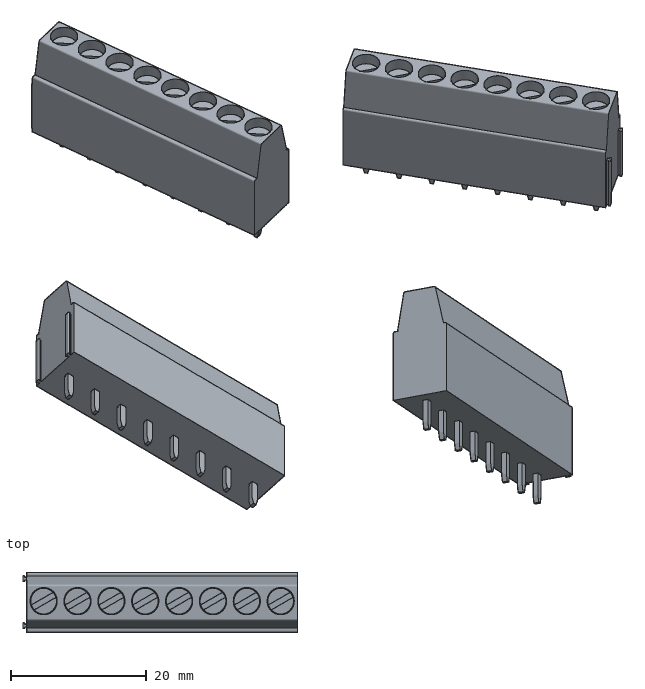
import cadquery as cq
import math

POLES = 8
OVERALL_LENGTH = 40.55
RIB_REACH = 0.55
BODY_LENGTH = OVERALL_LENGTH - RIB_REACH
PITCH = BODY_LENGTH / POLES
FIRST_POLE = PITCH / 2

BODY_DEPTH = 8.9
OVERALL_HEIGHT = 21.3
PIN_LENGTH = 4.5
BODY_HEIGHT = OVERALL_HEIGHT - PIN_LENGTH
SHOULDER_HEIGHT = 10.8
FRONT_SLOPE_FOOT = -3.75
FRONT_SLOPE_TOP = -2.68
BACK_SLOPE_FOOT = 3.95
BACK_SLOPE_TOP = 2.55
EDGE_RADIUS = 0.3

WELL_DIAMETER = 4.0
WELL_Y = 0.2
WELL_FLAT_WIDTH = 0.35
SCREW_DIAMETER = 3.8
SCREW_RECESS = 1.75
SCREW_HEAD_HEIGHT = 1.2
WELL_DEPTH = SCREW_RECESS + SCREW_HEAD_HEIGHT
SCREW_SLOT_WIDTH = 0.85
SCREW_SLOT_DEPTH = 0.8
SCREW_SLOT_ANGLE = 30

PIN_WIDTH = 1.0
PIN_THICKNESS = 0.8
PIN_Y = -0.12
PIN_TIP_WIDTH = 0.5
PIN_TAPER = 1.0

RIB_HEIGHT = 8.7
RIB_CENTRES_Y = (3.53, -3.4)
RIB_HEAD_WIDTH = 0.85
RIB_HEAD_THICKNESS = RIB_REACH / 2
RIB_HEAD_RADIUS = 0.12
RIB_NECK_WIDTH = 0.45


def pole_x(index):
    return FIRST_POLE + index * PITCH


def make_housing():
    half_depth = BODY_DEPTH / 2
    outline = [
        (-half_depth, 0),
        (-half_depth, SHOULDER_HEIGHT),
        (FRONT_SLOPE_FOOT, SHOULDER_HEIGHT),
        (FRONT_SLOPE_TOP, BODY_HEIGHT),
        (BACK_SLOPE_TOP, BODY_HEIGHT),
        (BACK_SLOPE_FOOT, SHOULDER_HEIGHT),
        (half_depth, SHOULDER_HEIGHT),
        (half_depth, 0),
    ]
    housing = cq.Workplane("YZ").polyline(outline).close().extrude(BODY_LENGTH)
    shoulder_edges = [(y, SHOULDER_HEIGHT) for y in (-half_depth, half_depth)]
    top_edges = [(y, BODY_HEIGHT) for y in (FRONT_SLOPE_TOP, BACK_SLOPE_TOP)]
    for y, z in shoulder_edges + top_edges:
        nearest = cq.selectors.NearestToPointSelector((BODY_LENGTH / 2, y, z))
        housing = housing.edges("|X").edges(nearest).fillet(EDGE_RADIUS)
    return housing


def make_well(x):
    """Round well with a narrow flat along its wall on the +Y side."""
    radius = WELL_DIAMETER / 2
    half_flat = WELL_FLAT_WIDTH / 2
    flat_distance = math.sqrt(radius**2 - half_flat**2)
    floor = BODY_HEIGHT - WELL_DEPTH
    outline = (
        cq.Workplane("XY", origin=(x, WELL_Y, floor))
        .moveTo(half_flat, flat_distance)
        .lineTo(-half_flat, flat_distance)
        .threePointArc((0, -radius), (half_flat, flat_distance))
        .close()
    )
    return outline.extrude(WELL_DEPTH)


def make_screw(x):
    """Screw head standing on the well floor, with a driver slot across its top."""
    floor = BODY_HEIGHT - WELL_DEPTH
    slot_floor = floor + SCREW_HEAD_HEIGHT - SCREW_SLOT_DEPTH
    head = (
        cq.Workplane("XY", origin=(x, WELL_Y, floor))
        .circle(SCREW_DIAMETER / 2)
        .extrude(SCREW_HEAD_HEIGHT)
    )
    slot = (
        cq.Workplane("XY", origin=(x, WELL_Y, slot_floor))
        .transformed(rotate=(0, 0, SCREW_SLOT_ANGLE))
        .rect(WELL_DIAMETER, SCREW_SLOT_WIDTH)
        .extrude(SCREW_SLOT_DEPTH)
    )
    return head.cut(slot)


def make_pin(x):
    """Flat pin below the housing, tapered in width towards its tip."""
    half_width = PIN_WIDTH / 2
    half_tip = PIN_TIP_WIDTH / 2
    taper_start = PIN_TAPER - PIN_LENGTH
    outline = [
        (-half_width, 0),
        (half_width, 0),
        (half_width, taper_start),
        (half_tip, -PIN_LENGTH),
        (-half_tip, -PIN_LENGTH),
        (-half_width, taper_start),
    ]
    pin = cq.Workplane("XZ", origin=(x, PIN_Y, 0)).polyline(outline).close()
    return pin.extrude(PIN_THICKNESS / 2, both=True)


def make_rib_block(thickness, width):
    return cq.Workplane("XY").box(thickness, width, RIB_HEIGHT, centered=(False, True, False))


def make_rib(y):
    """Rounded head on a narrow neck that runs on into the housing."""
    head = make_rib_block(RIB_HEAD_THICKNESS, RIB_HEAD_WIDTH).edges("|Z").fillet(RIB_HEAD_RADIUS)
    neck = make_rib_block(RIB_REACH, RIB_NECK_WIDTH).translate((RIB_HEAD_THICKNESS, 0, 0))
    return head.union(neck).translate((-RIB_REACH, y, 0))


result = make_housing()
for index in range(POLES):
    x = pole_x(index)
    result = result.cut(make_well(x)).union(make_screw(x)).union(make_pin(x))
for y in RIB_CENTRES_Y:
    result = result.union(make_rib(y))